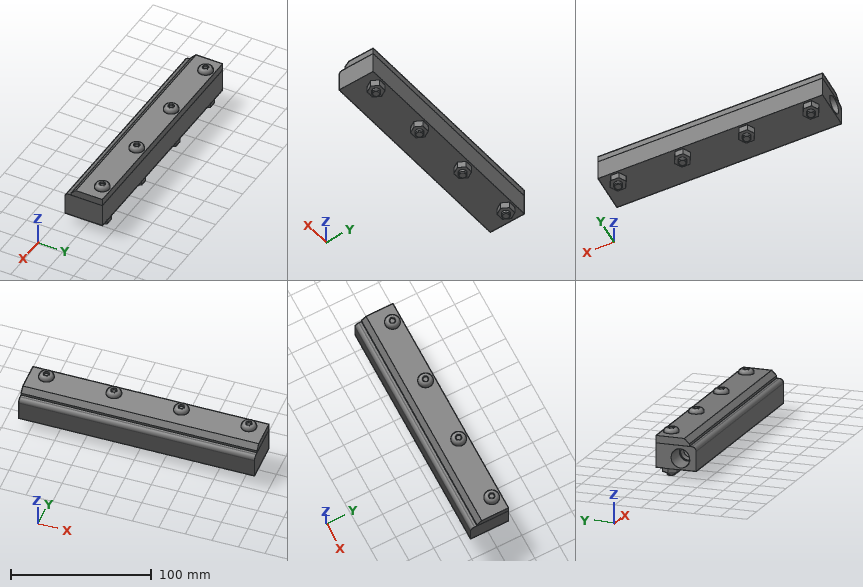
import cadquery as cq
import math

LENGTH = 177.8
DEPTH = 30.4
BASE_HEIGHT = 18.1
COVER_HEIGHT = 5.5
COVER_DEPTH = 25.2
COVER_CHAMFER = 3.7
BASE_FILLET = 3.2

PORT_FROM_BACK = 18.5
PORT_Z = 8.5
PORT_MOUTH_DIAMETER = 14.0
PORT_INNER_DIAMETER = 12.8
PORT_TAPER_DEPTH = 15.3
DRILL_DIAMETER = 11.0
DRILL_DEPTH = 21.3
DRILL_POINT_ANGLE = 118.0

SCREW_COUNT = 4
SCREW_END_MARGIN = 12.6
SCREW_FROM_BACK = 7.0
SHANK_DIAMETER = 6.4
SHANK_TIP_CHAMFER = 0.7
SHANK_PROTRUSION = 2.7
HEAD_DIAMETER = 11.2
HEAD_HEIGHT = 3.2
HEAD_LIP_HEIGHT = 0.4
HEAD_TOP_DIAMETER = 5.0
HEAD_BULGE = 0.9
SOCKET_ACROSS_FLATS = 4.0
SOCKET_DEPTH = 1.8
NUT_ACROSS_FLATS = 11.0
NUT_HEIGHT = 5.5

TOP_Z = BASE_HEIGHT + COVER_HEIGHT
SCREW_Y = DEPTH - SCREW_FROM_BACK
SCREW_PITCH = (LENGTH - 2 * SCREW_END_MARGIN) / (SCREW_COUNT - 1)
SCREW_POINTS = [
    (-LENGTH / 2 + SCREW_END_MARGIN + i * SCREW_PITCH, SCREW_Y)
    for i in range(SCREW_COUNT)
]


def hexagon_diameter(across_flats):
    """Corner-to-corner size of a regular hexagon."""
    return across_flats / math.cos(math.pi / 6)


def cut_screw_holes(block):
    """Cut the row of through holes that the screw shanks fill."""
    return block.faces(">Z").workplane(origin=(0, 0, 0)).pushPoints(SCREW_POINTS).hole(SHANK_DIAMETER)


def make_port_cutter():
    """Tapered mouth, stepped drill hole and drill point, revolved about the port axis."""
    mouth_radius = PORT_MOUTH_DIAMETER / 2
    inner_radius = PORT_INNER_DIAMETER / 2
    drill_radius = DRILL_DIAMETER / 2
    point_length = drill_radius / math.tan(math.radians(DRILL_POINT_ANGLE / 2))
    return (
        cq.Workplane("XY")
        .moveTo(0, 0)
        .lineTo(0, mouth_radius)
        .lineTo(PORT_TAPER_DEPTH, inner_radius)
        .lineTo(PORT_TAPER_DEPTH, drill_radius)
        .lineTo(DRILL_DEPTH, drill_radius)
        .lineTo(DRILL_DEPTH + point_length, 0)
        .close()
        .revolve(360, (0, 0, 0), (1, 0, 0))
        .translate((-LENGTH / 2, DEPTH - PORT_FROM_BACK, PORT_Z))
    )


def make_base():
    """Lower block with a rounded top front edge, the inlet port and the screw holes."""
    block = cq.Workplane("XY").box(LENGTH, DEPTH, BASE_HEIGHT, centered=(True, False, False))
    block = block.edges("<Y and >Z").fillet(BASE_FILLET)
    return cut_screw_holes(block).cut(make_port_cutter())


def make_cover():
    """Upper plate with a chamfered top front edge and the screw holes."""
    plate = (
        cq.Workplane("XY")
        .box(LENGTH, COVER_DEPTH, COVER_HEIGHT, centered=(True, False, False))
        .translate((0, DEPTH - COVER_DEPTH, BASE_HEIGHT))
    )
    plate = plate.edges("<Y and >Z").chamfer(COVER_CHAMFER)
    return cut_screw_holes(plate)


def make_screw(x, y):
    """Button-head socket screw with its head seated on the cover."""
    shank_radius = SHANK_DIAMETER / 2
    head_radius = HEAD_DIAMETER / 2
    top_radius = HEAD_TOP_DIAMETER / 2
    tip_z = -TOP_Z - NUT_HEIGHT - SHANK_PROTRUSION

    chord_r = top_radius - head_radius
    chord_z = HEAD_HEIGHT - HEAD_LIP_HEIGHT
    chord = math.hypot(chord_r, chord_z)
    dome_middle = (
        (head_radius + top_radius) / 2 + HEAD_BULGE * chord_z / chord,
        (HEAD_LIP_HEIGHT + HEAD_HEIGHT) / 2 - HEAD_BULGE * chord_r / chord,
    )

    body = (
        cq.Workplane("XZ")
        .moveTo(0, tip_z)
        .lineTo(shank_radius - SHANK_TIP_CHAMFER, tip_z)
        .lineTo(shank_radius, tip_z + SHANK_TIP_CHAMFER)
        .lineTo(shank_radius, 0)
        .lineTo(head_radius, 0)
        .lineTo(head_radius, HEAD_LIP_HEIGHT)
        .threePointArc(dome_middle, (top_radius, HEAD_HEIGHT))
        .lineTo(0, HEAD_HEIGHT)
        .close()
        .revolve(360, (0, 0, 0), (0, 1, 0))
    )
    socket = (
        cq.Workplane("XY", origin=(0, 0, HEAD_HEIGHT - SOCKET_DEPTH))
        .polygon(6, hexagon_diameter(SOCKET_ACROSS_FLATS))
        .extrude(SOCKET_DEPTH)
    )
    return body.cut(socket).translate((x, y, TOP_Z))


def make_nut(x, y):
    """Plain hexagon nut against the underside of the base."""
    return (
        cq.Workplane("XY")
        .polygon(6, hexagon_diameter(NUT_ACROSS_FLATS))
        .circle(SHANK_DIAMETER / 2)
        .extrude(-NUT_HEIGHT)
        .translate((x, y, 0))
    )


base = make_base()
cover = make_cover()
screws = [make_screw(x, y) for x, y in SCREW_POINTS]
nuts = [make_nut(x, y) for x, y in SCREW_POINTS]

result = cq.Compound.makeCompound(
    [base.val(), cover.val()]
    + [screw.val() for screw in screws]
    + [nut.val() for nut in nuts]
)